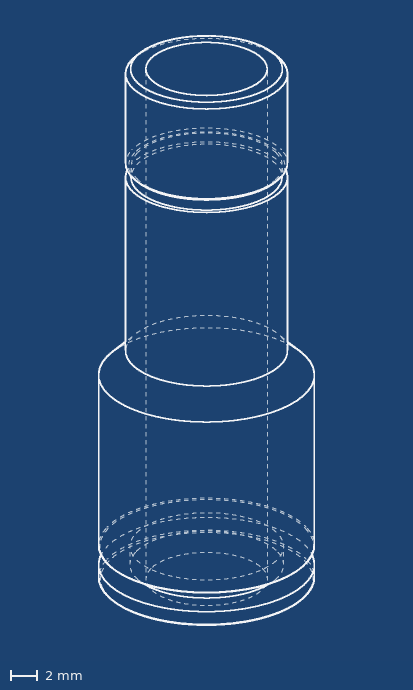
import cadquery as cq

total_length = 42.0
body_diameter = 16.0
stem_diameter = 12.0
bore_diameter = 9.0

collar_thickness = 1.18
collar_neck_diameter = 11.4
collar_edge_chamfer = 0.13

body_bottom = 2.7
body_top = 16.8
body_edge_chamfer = 0.1
shoulder_height = (body_diameter - stem_diameter) / 2

groove_diameter = 11.2
groove_bottom = 33.1
groove_top = 34.0
groove_edge_chamfer = 0.2
tip_chamfer = 0.38


def cylinder(diameter, bottom, top):
    """Solid cylinder on the Z axis between two heights."""
    return cq.Workplane("XY").workplane(offset=bottom).circle(diameter / 2).extrude(top - bottom)


def make_collar():
    flange = cylinder(body_diameter, 0, collar_thickness).faces("<Z").chamfer(collar_edge_chamfer)
    neck = cylinder(collar_neck_diameter, 0, body_bottom)
    return flange.union(neck)


def make_body():
    shoulder_top = body_top + shoulder_height
    body = cylinder(body_diameter, body_bottom, shoulder_top)
    body = body.faces(">Z").chamfer(shoulder_height)
    return body.faces("<Z").chamfer(body_edge_chamfer)


def make_stem():
    lower_stem = cylinder(stem_diameter, body_top, groove_bottom)
    groove_core = cylinder(groove_diameter, groove_bottom, groove_top)
    tip = cylinder(stem_diameter, groove_top, total_length)
    tip = tip.faces(">Z").chamfer(tip_chamfer)
    tip = tip.faces("<Z").chamfer(groove_edge_chamfer)
    return lower_stem.union(groove_core).union(tip)


outside = make_collar().union(make_body()).union(make_stem())
result = outside.cut(cylinder(bore_diameter, 0, total_length))